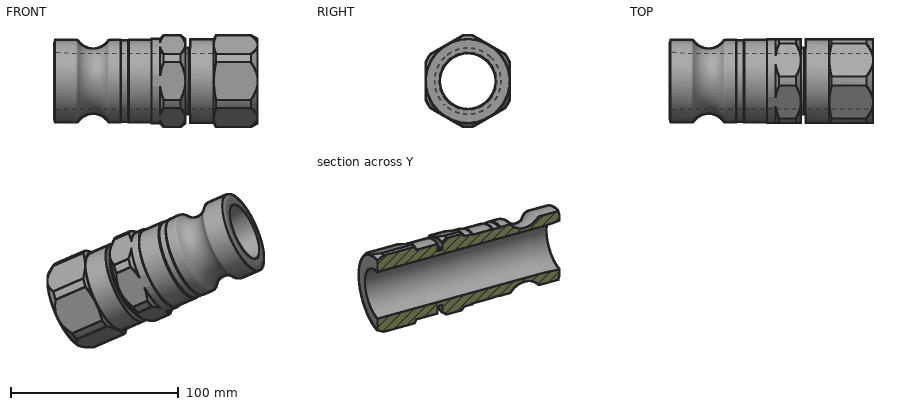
import cadquery as cq
import math


TOTAL_LENGTH = 121.5
HEX_FLATS = 50.0
HEX_CORNER_DIA = 54.9
COLLAR_DIA = HEX_FLATS

BORE_DIA = 33.0
BORE_MOUTH_DIA = 34.7
BORE_TAPER_LENGTH = 10.9

PLUG_DIA = 49.5
PLUG_FACE_DIA = 43.5
PLUG_CHAMFER_LENGTH = 0.9
WAIST_DIA = 39.0
WAIST_ARC_RADIUS = 10.9
WAIST_RIM_RADIUS = 2.0
WAIST_X = 23.5

BAND_DIA = 49.0
BAND_START = 40.1
BAND_END = 44.3
BAND_CHAMFER = 0.5

SHOULDER_START = 58.2
SHOULDER_END = 63.4
SHOULDER_DIA = 50.5
MID_HEX_END = 78.4
MID_HEX_FRONT_CHAMFER = 2.1
MID_HEX_BACK_CHAMFER = 2.9

NECK_DIA = 39.9
NECK_STEP_DIA = 40.0
NECK_STEP_START = 80.3
COLLAR_START = 81.3
COLLAR_END = 95.3

END_HEX_FRONT_DIA = 49.5
END_HEX_FRONT_CHAMFER = 1.5
END_HEX_BACK_CHAMFER = 4.1


def revolve_about_x(profile):
    """Turn a closed profile, drawn as (x, radius), about the X axis."""
    return profile.close().revolve(360, (0, 0, 0), (1, 0, 0))


def cylinder(start, end, diameter):
    return cq.Workplane("YZ").workplane(offset=start).circle(diameter / 2).extrude(end - start)


def plug():
    """Body from the plug face to the shoulder, with the waist groove and the band."""
    radius = PLUG_DIA / 2
    waist_radius = WAIST_DIA / 2
    band_radius = BAND_DIA / 2

    centre_distance = WAIST_ARC_RADIUS + WAIST_RIM_RADIUS
    centre_rise = centre_distance - (radius - waist_radius)
    rim_offset = math.sqrt(centre_distance**2 - centre_rise**2)
    touch_ratio = WAIST_ARC_RADIUS / centre_distance
    touch_offset = rim_offset * touch_ratio
    touch_radius = waist_radius + WAIST_ARC_RADIUS - centre_rise * touch_ratio

    half_angle = math.asin(rim_offset / centre_distance) / 2
    middle_offset = rim_offset - WAIST_RIM_RADIUS * math.sin(half_angle)
    middle_radius = radius - WAIST_RIM_RADIUS * (1 - math.cos(half_angle))

    profile = (
        cq.Workplane("XY")
        .lineTo(0, PLUG_FACE_DIA / 2)
        .lineTo(PLUG_CHAMFER_LENGTH, radius)
        .lineTo(WAIST_X - rim_offset, radius)
        .threePointArc((WAIST_X - middle_offset, middle_radius), (WAIST_X - touch_offset, touch_radius))
        .threePointArc((WAIST_X, waist_radius), (WAIST_X + touch_offset, touch_radius))
        .threePointArc((WAIST_X + middle_offset, middle_radius), (WAIST_X + rim_offset, radius))
        .lineTo(BAND_START - BAND_CHAMFER, radius)
        .lineTo(BAND_START, band_radius)
        .lineTo(BAND_END, band_radius)
        .lineTo(BAND_END + BAND_CHAMFER, radius)
        .lineTo(SHOULDER_START, radius)
        .lineTo(SHOULDER_START, 0)
    )
    return revolve_about_x(profile)


def hex_bar(start, end):
    corner_to_corner = HEX_FLATS / math.cos(math.pi / 6)
    return (
        cq.Workplane("YZ")
        .workplane(offset=start)
        .transformed(rotate=(0, 0, 90))
        .polygon(6, corner_to_corner)
        .extrude(end - start)
    )


def hex_blank(start, end, front_dia, front_chamfer, back_chamfer):
    """Turned blank: both ends are cones that run up to the corner diameter."""
    front_radius = front_dia / 2
    back_radius = HEX_FLATS / 2
    corner_radius = HEX_CORNER_DIA / 2
    profile = (
        cq.Workplane("XY")
        .moveTo(start, 0)
        .lineTo(start, front_radius)
        .lineTo(start + front_chamfer, corner_radius)
        .lineTo(end - back_chamfer, corner_radius)
        .lineTo(end, back_radius)
        .lineTo(end, 0)
    )
    return revolve_about_x(profile)


def middle_hexagon():
    """Hexagon whose flats also cut the round shoulder in front of it."""
    blank = hex_blank(SHOULDER_END, MID_HEX_END, SHOULDER_DIA, MID_HEX_FRONT_CHAMFER, MID_HEX_BACK_CHAMFER)
    shoulder = cylinder(SHOULDER_START, SHOULDER_END, SHOULDER_DIA)
    return blank.union(shoulder).intersect(hex_bar(SHOULDER_START, MID_HEX_END))


def end_hexagon():
    blank = hex_blank(
        COLLAR_END, TOTAL_LENGTH, END_HEX_FRONT_DIA, END_HEX_FRONT_CHAMFER, END_HEX_BACK_CHAMFER
    )
    return blank.intersect(hex_bar(COLLAR_END, TOTAL_LENGTH))


def bore():
    """Through bore with a slow taper at the plug end."""
    profile = (
        cq.Workplane("XY")
        .lineTo(0, BORE_MOUTH_DIA / 2)
        .lineTo(BORE_TAPER_LENGTH, BORE_DIA / 2)
        .lineTo(TOTAL_LENGTH, BORE_DIA / 2)
        .lineTo(TOTAL_LENGTH, 0)
    )
    return revolve_about_x(profile)


result = (
    plug()
    .union(middle_hexagon())
    .union(cylinder(MID_HEX_END, NECK_STEP_START, NECK_DIA))
    .union(cylinder(NECK_STEP_START, COLLAR_START, NECK_STEP_DIA))
    .union(cylinder(COLLAR_START, COLLAR_END, COLLAR_DIA))
    .union(end_hexagon())
    .cut(bore())
)